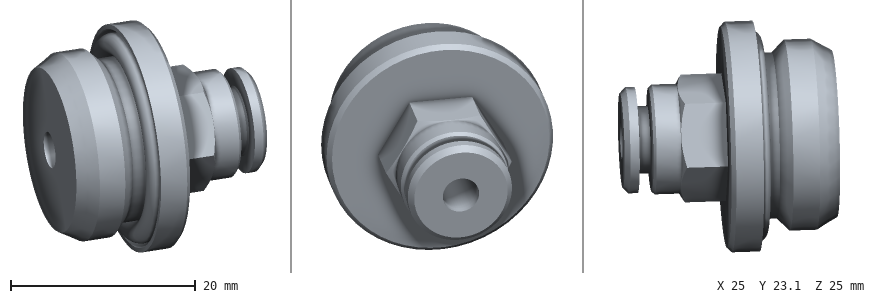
import cadquery as cq
import math

head_nose_length = 2.25
head_rim_end = 5.15
flange_front = 8.5
flange_thickness = 3.5
flange_back = flange_front + flange_thickness
hex_length = 5.0
hex_end = flange_back + hex_length
shoulder_length = 3.0
shoulder_end = hex_end + shoulder_length
collar_front = 21.5
collar_back = 23.1

bore_diameter = 4.0
neck_diameter = 18.0
head_diameter = 20.7
flange_diameter = 25.0
shoulder_diameter = 11.9
collar_neck_diameter = 7.3
collar_diameter = 11.5

hex_sides = 6
hex_across_flats = 12.0
hex_chamfer_angle = 30.0

head_nose_angle = 30.0
flange_chamfer = 0.5
shoulder_chamfer = 0.32
collar_chamfer = 0.6
collar_root_chamfer = 0.2
end_cone_height = 0.18
end_cone_base_diameter = 10.0

seal_section_radius = 1.28
seal_ring_radius = neck_diameter / 2 + seal_section_radius
seal_protrusion = 0.9
seal_centre = flange_front - seal_protrusion + seal_section_radius

groove_floor = seal_centre + seal_section_radius
groove_mouth_diameter = 24.0
groove_wall_angle = 30.0
groove_depth = groove_floor - flange_front
groove_floor_diameter = groove_mouth_diameter - 2 * groove_depth * math.tan(math.radians(groove_wall_angle))


def turn(profile):
    """Revolve a closed (radius, y) outline about the Y axis."""
    return cq.Workplane("XY").polyline(profile).close().revolve(360, (0, 0, 0), (0, 1, 0))


def make_head_and_flange():
    neck_radius = neck_diameter / 2
    head_radius = head_diameter / 2
    flange_radius = flange_diameter / 2
    nose_radius = head_radius - head_nose_length * math.tan(math.radians(head_nose_angle))
    neck_start = head_rim_end + head_radius - neck_radius
    return turn([
        (0, 0),
        (nose_radius, 0),
        (head_radius, head_nose_length),
        (head_radius, head_rim_end),
        (neck_radius, neck_start),
        (neck_radius, groove_floor),
        (groove_floor_diameter / 2, groove_floor),
        (groove_mouth_diameter / 2, flange_front),
        (flange_radius, flange_front),
        (flange_radius, flange_back - flange_chamfer),
        (flange_radius - flange_chamfer, flange_back),
        (0, flange_back),
    ])


def make_hexagon():
    corner_radius = hex_across_flats / 2 / math.cos(math.pi / hex_sides)
    top_radius = shoulder_diameter / 2
    chamfer_drop = (corner_radius - top_radius) * math.tan(math.radians(hex_chamfer_angle))
    prism = (
        cq.Workplane("XZ", origin=(0, flange_back, 0))
        .polygon(hex_sides, 2 * corner_radius)
        .extrude(-hex_length)
    )
    chamfer_envelope = turn([
        (0, flange_back),
        (corner_radius, flange_back),
        (corner_radius, hex_end - chamfer_drop),
        (top_radius, hex_end),
        (0, hex_end),
    ])
    return prism.intersect(chamfer_envelope)


def make_shoulder_and_collar():
    shoulder_radius = shoulder_diameter / 2
    neck_radius = collar_neck_diameter / 2
    collar_radius = collar_diameter / 2
    return turn([
        (0, hex_end),
        (shoulder_radius, hex_end),
        (shoulder_radius, shoulder_end - shoulder_chamfer),
        (shoulder_radius - shoulder_chamfer, shoulder_end),
        (end_cone_base_diameter / 2, shoulder_end),
        (neck_radius, shoulder_end + end_cone_height),
        (neck_radius, collar_front - collar_root_chamfer),
        (neck_radius + collar_root_chamfer, collar_front),
        (collar_radius, collar_front),
        (collar_radius, collar_back - collar_chamfer),
        (collar_radius - collar_chamfer, collar_back),
        (0, collar_back),
    ])


def make_fitting():
    bore = cq.Workplane("XZ").circle(bore_diameter / 2).extrude(-collar_back)
    blank = make_head_and_flange().union(make_hexagon()).union(make_shoulder_and_collar())
    return blank.cut(bore).solids()


def make_seal():
    return (
        cq.Workplane("XY")
        .center(seal_ring_radius, seal_centre)
        .circle(seal_section_radius)
        .revolve(360, (-seal_ring_radius, 0, 0), (-seal_ring_radius, 1, 0))
    )


fitting = make_fitting()
seal = make_seal()

result = cq.Compound.makeCompound([fitting.val(), seal.val()])